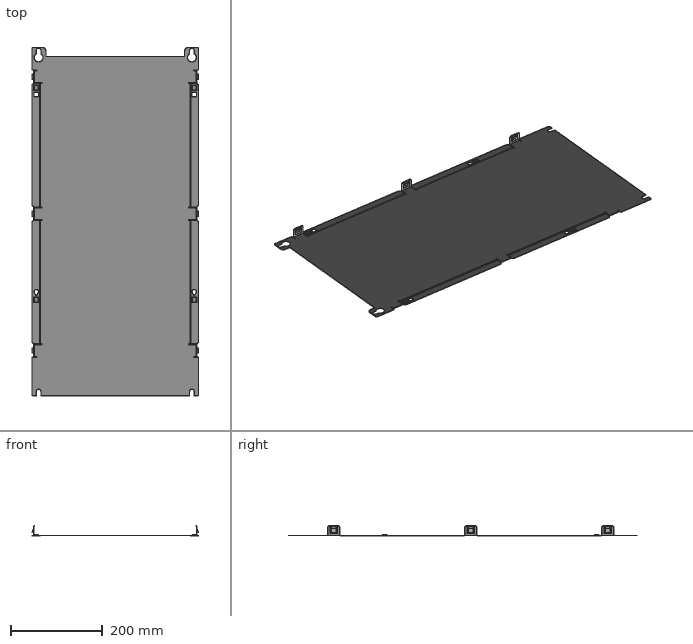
import cadquery as cq
import math

width = 363.0
length = 758.0
sheet = 1.0
half_width = width / 2
half_length = length / 2
corner_radius = 4.0

ear_width = 31.0
ear_height = 20.0
ear_inner_radius = 8.0
mount_x = 167.0
keyhole_y = 357.0
keyhole_diameter = 19.0
keyhole_neck_y = 372.0
neck_width = 10.0
bottom_slot_depth = 14.5

tab_pitch = 298.0
middle_tab_y = 17.5
tab_rows = [middle_tab_y + step * tab_pitch for step in (1, 0, -1)]
notch_length = 29.0
notch_depth = 4.0
tab_width = 26.5
tab_height = 23.5
tab_corner = 4.0
lip_height = 3.0
lip_lean = 1.5
window_width = 16.0
window_bottom = 6.0
window_top = 20.0
tongue_width = 11.0
tongue_bend_z = 16.0
tongue_tip_z = 7.5

plate_z = 1.0
strip_width = 17.0
step_width = 2.0
strip_corner = 4.0
relief_width = 1.5
strip_relief_depth = 22.0
tab_relief_depth = 10.5

strip_hole_inset = 10.0
strip_hole_size = 9.0
square_hole_y = 276.5
pointed_hole_y = -152.0
hole_point_length = 9.0
dimple_rows = (291.0, -170.0)
dimple_length = 12.0
dimple_width = 11.0
dimple_inset = 1.5
dimple_rise = 2.0


def block(x_min, x_max, y_min, y_max, z_min, z_max):
    """Box between the given limits."""
    size = (x_max - x_min, y_max - y_min, z_max - z_min)
    return cq.Workplane("XY").box(*size, centered=False).translate((x_min, y_min, z_min))


def along_y(profile, y_centre, extent):
    """Extrude a closed XZ outline along Y, centred on y_centre."""
    solid = cq.Workplane("XZ").polyline(profile).close().extrude(extent / 2, both=True)
    return solid.translate((0, y_centre, 0))


def both_sides(left):
    """A feature of the -X side together with its mirror image."""
    return left.union(left.mirror("YZ"))


def flat_plate():
    """Sheet with two ears at the +Y end."""
    ear_base_y = half_length - ear_height
    z_top = plate_z + sheet
    plate = block(-half_width, half_width, -half_length, ear_base_y, plate_z, z_top)
    plate = plate.edges("|Z and <Y").fillet(corner_radius)
    ear = block(
        -half_width, -half_width + ear_width, ear_base_y - ear_height, half_length, plate_z, z_top
    )
    ear = ear.edges("|Z and >Y and >X").fillet(ear_inner_radius)
    ear = ear.edges("|Z and >Y and <X").fillet(corner_radius)
    return plate.union(both_sides(ear)).clean()


def round_ended_slot(y_start, y_end):
    """Cutter for a slot along Y on the -X side, rounded about y_end."""
    radius = neck_width / 2
    straight = block(-mount_x - radius, -mount_x + radius, y_start, y_end, 0, tab_height)
    end = cq.Workplane("XY").center(-mount_x, y_end).circle(radius).extrude(tab_height)
    return straight.union(end)


def mounting_openings():
    """Keyhole in the ear and open slot at the -Y end, on the -X side."""
    keyhole = cq.Workplane("XY").center(-mount_x, keyhole_y).circle(keyhole_diameter / 2)
    slot_end_y = -half_length + bottom_slot_depth - neck_width / 2
    return (
        keyhole.extrude(tab_height)
        .union(round_ended_slot(keyhole_y, keyhole_neck_y))
        .union(round_ended_slot(-half_length, slot_end_y))
    )


def edge_cutout():
    """Notches, strip clearances and relief slits along the -X edge."""
    cutout = cq.Workplane("XY")
    for y in tab_rows:
        y_low = y - notch_length / 2
        y_high = y + notch_length / 2
        low_relief = tab_relief_depth if y == tab_rows[-1] else strip_relief_depth
        high_relief = tab_relief_depth if y == tab_rows[0] else strip_relief_depth
        cutout = cutout.union(block(-half_width, -half_width + notch_depth, y_low, y_high, 0, tab_height))
        for relief_y, depth in ((y_low, low_relief), (y_high - relief_width, high_relief)):
            slit = block(
                -half_width, -half_width + depth, relief_y, relief_y + relief_width, 0, tab_height
            )
            cutout = cutout.union(slit)
    for y_high, y_low in zip(tab_rows, tab_rows[1:]):
        clearance = block(
            -half_width, -half_width + strip_width + step_width,
            y_low + notch_length / 2, y_high - notch_length / 2, 0, tab_height,
        )
        cutout = cutout.union(clearance)
    return cutout


def strip(y_low, y_high):
    """Edge strip with the bend that joins it to the plate."""
    x_edge = -half_width
    x_bend = x_edge + strip_width
    x_plate = x_bend + step_width
    profile = [
        (x_edge, 0), (x_bend, 0), (x_plate, plate_z),
        (x_plate, plate_z + sheet), (x_bend, sheet), (x_edge, sheet),
    ]
    body = along_y(profile, (y_low + y_high) / 2, y_high - y_low)
    return body.edges("|Z and <X").chamfer(strip_corner)


def snap_tab(y):
    """Upright tab with an inward lip and a spring tongue flared outward in its window."""
    x_out = -half_width + notch_depth
    x_in = x_out + sheet
    lip_z = tab_height - lip_height
    tab = along_y(
        [
            (x_out, plate_z), (x_in, plate_z), (x_in, lip_z), (x_in + lip_lean, tab_height),
            (x_out + lip_lean, tab_height), (x_out, lip_z),
        ],
        y, tab_width,
    )
    tab = tab.intersect(
        block(-half_width, 0, y - tab_width / 2, y + tab_width / 2, 0, tab_height)
        .edges("|X and >Z").chamfer(tab_corner)
    )
    window = block(
        -half_width, 0, y - window_width / 2, y + window_width / 2, window_bottom, window_top
    )
    tongue = along_y(
        [
            (x_out, window_top), (x_in, window_top), (x_in, tongue_bend_z),
            (-half_width + sheet, tongue_tip_z), (-half_width, tongue_tip_z), (x_out, tongue_bend_z),
        ],
        y, tongue_width,
    )
    return tab.cut(window).union(tongue)


def strip_holes():
    """Square hole and round hole with a pointed end, in the -X strips."""
    x = -half_width + strip_hole_inset
    radius = strip_hole_size / 2
    square = cq.Workplane("XY").center(x, square_hole_y).rect(strip_hole_size, strip_hole_size)
    round_hole = cq.Workplane("XY").center(x, pointed_hole_y).circle(radius).extrude(tab_height)
    touch_y = -radius ** 2 / hole_point_length
    touch_x = math.sqrt(radius ** 2 - touch_y ** 2)
    point = (
        cq.Workplane("XY").center(x, pointed_hole_y)
        .polyline([(-touch_x, touch_y), (touch_x, touch_y), (0, -hole_point_length)])
        .close().extrude(tab_height)
    )
    return square.extrude(tab_height).union(round_hole).union(point)


def dimple_body(y, base_z):
    """Four-sided frustum that stands on the height base_z."""
    x = -half_width + strip_hole_inset
    return (
        cq.Workplane("XY", origin=(x, y, base_z))
        .rect(dimple_width, dimple_length)
        .workplane(offset=dimple_rise)
        .rect(dimple_width - 2 * dimple_inset, dimple_length - 2 * dimple_inset)
        .loft(ruled=True)
    )


left_cuts = edge_cutout().union(mounting_openings())
plate = flat_plate().cut(both_sides(left_cuts))

left_side = cq.Workplane("XY")
for y_high, y_low in zip(tab_rows, tab_rows[1:]):
    left_side = left_side.union(strip(y_low + notch_length / 2, y_high - notch_length / 2))
left_side = left_side.cut(strip_holes())
for y in dimple_rows:
    left_side = left_side.union(dimple_body(y, sheet)).cut(dimple_body(y, 0))
for y in tab_rows:
    left_side = left_side.union(snap_tab(y))

result = plate.union(both_sides(left_side))